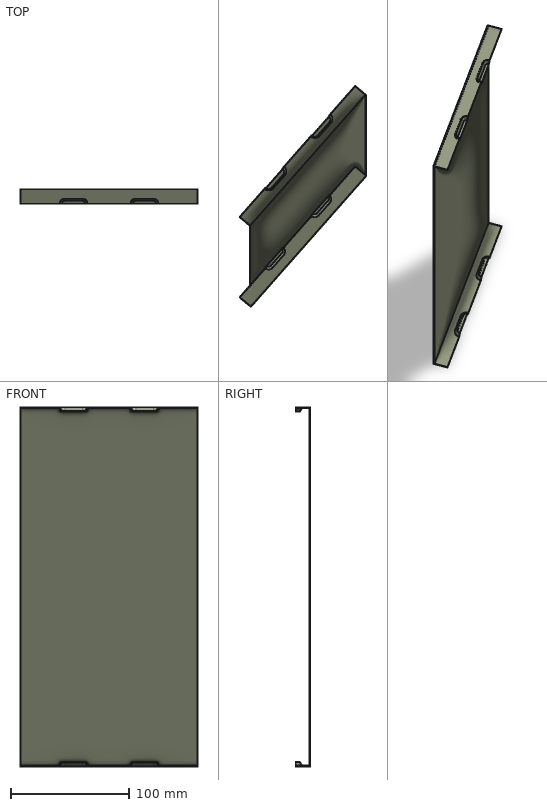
import cadquery as cq

width = 150.0
depth = 12.5
height = 304.5
sheet = 1.0

dimple_spacing = 60.0
end_center_spacing = 15.0
mouth_radius = 4.3
floor_radius = 2.5
dimple_depth = 3.0

front_y = -depth / 2
flange_z = height / 2


def channel():
    """Panel with both flanges pointing toward -Y."""
    blank = cq.Workplane("XY").box(width, depth, height)
    cavity = cq.Workplane("XY").box(width, depth, height - 2 * sheet)
    return blank.cut(cavity.translate((0, -sheet, 0)))


def tapered_slot(center_x, top_z, top_radius, bottom_radius):
    """Slot centered on the flange edge, narrowing downward over the dimple depth."""
    return (
        cq.Workplane("XY", origin=(center_x, front_y, top_z))
        .slot2D(end_center_spacing + 2 * top_radius, 2 * top_radius)
        .workplane(offset=-dimple_depth)
        .slot2D(end_center_spacing + 2 * bottom_radius, 2 * bottom_radius)
        .loft(ruled=True)
    )


envelope = cq.Workplane("XY").box(width, depth, height)
result = channel()
for center_x in (-dimple_spacing / 2, dimple_spacing / 2):
    shell = tapered_slot(center_x, flange_z - sheet, mouth_radius + sheet, floor_radius + sheet)
    shell = shell.intersect(envelope)
    recess = tapered_slot(center_x, flange_z, mouth_radius, floor_radius)
    result = result.union(shell).union(shell.mirror("XY"))
    result = result.cut(recess).cut(recess.mirror("XY"))